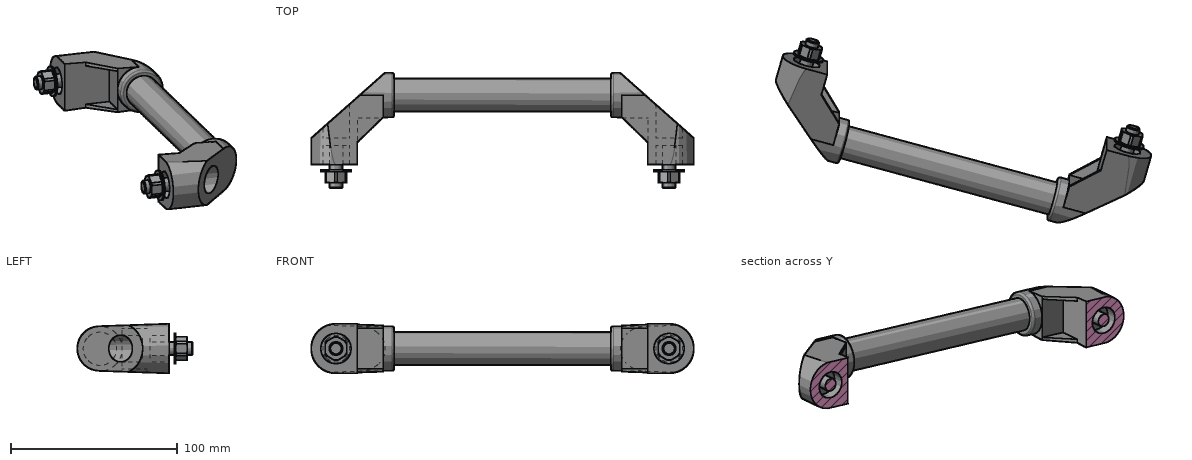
import cadquery as cq
import math

total_length = 230.0
total_height = 55.2

foot_width = 30.0
foot_length = 27.8
side_draft = 2.0
outer_corner_height = 15.9
outer_slope_end = 44.5
inner_corner_height = 13.3
shoulder_reach = 43.2
leg_reach = 50.0
pocket_width = 24.4

collar_diameter = 27.0
collar_fillet = 1.4
bar_diameter = 20.0

bolt_hole_diameter = 16.0
ledge_bottom_y = 11.5
ledge_top_y = 16.0
bolt_diameter = 8.0
bolt_projection = 14.3
bolt_chamfer = 0.7
washer_diameter = 18.2
washer_thickness = 1.0
washer_gap = 3.2
nut_across_flats = 13.0
nut_corner_diameter = 14.3
nut_sides = 6
nut_thickness = 6.7
nut_chamfer = 0.2

foot_radius = foot_width / 2
leg_end = -total_length / 2
bolt_x = leg_end + foot_radius
foot_inner_x = leg_end + foot_length
shoulder_x = leg_end + shoulder_reach
leg_inner_x = leg_end + leg_reach
collar_radius = collar_diameter / 2
axis_y = total_height - collar_radius
collar_bottom_y = axis_y - collar_radius
slope = (total_height - outer_corner_height) / outer_slope_end
slope_axis_x = leg_end + (axis_y - outer_corner_height) / slope
slope_limit_y = outer_corner_height + slope * leg_reach


def cylinder_y(diameter, start_y, end_y):
    """Cylinder on the bolt axis between two heights."""
    length = end_y - start_y
    return cq.Workplane("XZ", origin=(bolt_x, start_y, 0)).circle(diameter / 2).extrude(-length)


def make_web():
    """Bent arm with a rounded foot and drafted sides, up to the collar axis."""
    arm = (
        cq.Workplane("XY")
        .polyline([
            (leg_end, 0),
            (foot_inner_x, 0),
            (foot_inner_x, inner_corner_height),
            (shoulder_x, collar_bottom_y),
            (shoulder_x, axis_y),
            (slope_axis_x, axis_y),
            (leg_end, outer_corner_height),
        ])
        .close()
        .extrude(foot_radius, both=True)
    )
    foot_outline = (
        cq.Workplane("XZ")
        .moveTo(bolt_x, foot_radius)
        .threePointArc((leg_end, 0), (bolt_x, -foot_radius))
        .lineTo(leg_inner_x, -foot_radius)
        .lineTo(leg_inner_x, foot_radius)
        .close()
        .extrude(-total_height)
    )
    axis_half_width = foot_radius - axis_y * math.tan(math.radians(side_draft))
    drafted_sides = (
        cq.Workplane("YZ", origin=(leg_end, 0, 0))
        .polyline([
            (0, -foot_radius),
            (axis_y, -axis_half_width),
            (axis_y, axis_half_width),
            (0, foot_radius),
        ])
        .close()
        .extrude(leg_reach)
    )
    return arm.intersect(foot_outline).intersect(drafted_sides)


def make_collar():
    """Round collar on the bar axis, cut off by the sloped outer face."""
    collar = (
        cq.Workplane("YZ", origin=(leg_end, axis_y, 0))
        .circle(collar_radius)
        .extrude(leg_reach)
        .faces(">X")
        .edges()
        .fillet(collar_fillet)
    )
    kept_region = (
        cq.Workplane("XY")
        .polyline([
            (slope_axis_x, axis_y),
            (shoulder_x, axis_y),
            (shoulder_x, collar_bottom_y),
            (leg_inner_x, collar_bottom_y),
            (leg_inner_x, slope_limit_y),
        ])
        .close()
        .extrude(foot_width, both=True)
    )
    return collar.intersect(kept_region)


def make_pocket():
    """Triangular recess in the inner bend, leaving a thin rib on each side."""
    return (
        cq.Workplane("XY")
        .polyline([
            (foot_inner_x, inner_corner_height),
            (shoulder_x, collar_bottom_y),
            (foot_inner_x, collar_bottom_y),
        ])
        .close()
        .extrude(pocket_width / 2, both=True)
    )


def make_fastener():
    """Bolt with washer and hexagon nut."""
    washer_outer_y = -washer_gap - washer_thickness
    nut_outer_y = washer_outer_y - nut_thickness
    bolt = cylinder_y(bolt_diameter, -bolt_projection, ledge_bottom_y)
    bolt = bolt.faces("<Y").chamfer(bolt_chamfer)
    washer = cylinder_y(washer_diameter, washer_outer_y, -washer_gap)
    across_corners = nut_across_flats / math.cos(math.pi / nut_sides)
    hexagon = (
        cq.Workplane("XZ", origin=(bolt_x, washer_outer_y, 0))
        .transformed(rotate=(0, 0, 90))
        .polygon(nut_sides, across_corners)
        .extrude(nut_thickness)
    )
    corner_limit = cylinder_y(nut_corner_diameter, nut_outer_y, washer_outer_y)
    corner_limit = corner_limit.faces("<Y or >Y").chamfer(nut_chamfer)
    nut = hexagon.intersect(corner_limit)
    return bolt.union(washer).union(nut)


def make_leg():
    """Left leg with its collar, recesses and fastener."""
    lower_hole = cylinder_y(bolt_hole_diameter, 0, ledge_bottom_y)
    upper_hole = cylinder_y(bolt_hole_diameter, ledge_top_y, total_height)
    body = make_web().union(make_collar())
    for recess in (make_pocket(), lower_hole, upper_hole):
        body = body.cut(recess)
    return body.union(make_fastener())


left_leg = make_leg()
right_leg = left_leg.mirror("YZ")
bar = (
    cq.Workplane("YZ", origin=(leg_inner_x, axis_y, 0))
    .circle(bar_diameter / 2)
    .extrude(-2 * leg_inner_x)
)

result = left_leg.union(bar).union(right_leg)